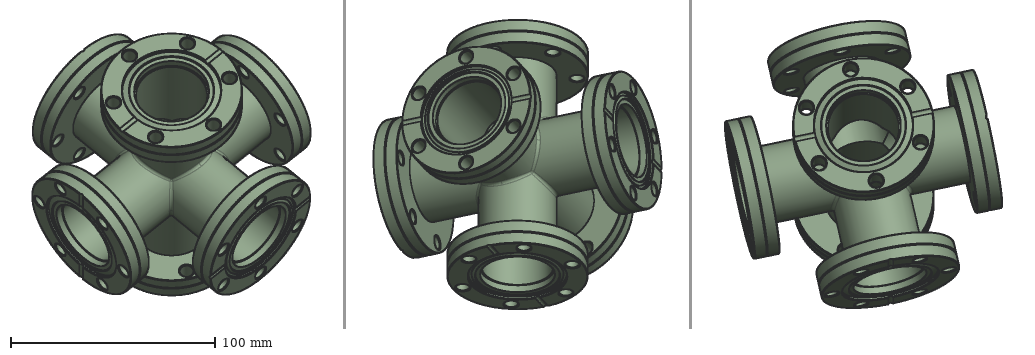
import cadquery as cq


span = 124.4
face_height = span / 2

tube_outer_dia = 38.3
tube_bore_dia = 34.8
weld_fillet = 1.5

fixed_flange_dia = 69.3
ring_dia = 69.0
flange_thickness = 12.8
rim_chamfer = 0.4
rim_groove_radius = 0.4

recess_dia = 48.3
recess_depth = 1.5
recess_chamfer = 0.4
knife_dia = 41.9
knife_depth = 0.4
knife_taper = 0.4
lip_dia = 36.6
lip_depth = 1.0
lip_chamfer = 0.1
tube_end_depth = 4.7

insert_dia = 45.2
insert_back_depth = 7.5
ring_bore_dia = 38.6

bolt_count = 6
bolt_hole_dia = 6.7
bolt_circle_dia = 58.7
bolt_chamfer = 0.5
leak_groove_width = 2.5
leak_groove_depth = 0.7

back_height = face_height - flange_thickness
mid_rim_height = face_height - flange_thickness / 2
insert_back_height = face_height - insert_back_depth
tube_end_height = face_height - tube_end_depth
recess_floor_height = face_height - recess_depth
knife_height = face_height - knife_depth
lip_height = face_height - lip_depth

fixed_ports = [
    ((0, 0, 1), (1, 0, 0)),
    ((-1, 0, 0), (0, 1, 0)),
    ((0, -1, 0), (1, 0, 0)),
]
rotatable_ports = [
    ((0, 0, -1), (0, 1, 0)),
    ((1, 0, 0), (0, 0, 1)),
    ((0, 1, 0), (0, 0, 1)),
]


def at_port(body, port):
    """Place a body modelled on the +Z port onto another port."""
    outward, local_x = port
    return body.val().moved(cq.Plane((0, 0, 0), local_x, outward).location)


def rod(diameter, bottom, top):
    """Cylinder on the Z axis between two heights."""
    return cq.Workplane("XY", origin=(0, 0, bottom)).circle(diameter / 2).extrude(top - bottom)


def cone(bottom_dia, top_dia, bottom, top):
    """Truncated cone on the Z axis between two heights."""
    start = cq.Vector(0, 0, bottom)
    return cq.Workplane(cq.Solid.makeCone(bottom_dia / 2, top_dia / 2, top - bottom, start))


def turned(outline):
    """Turn a closed radius-height outline about the Z axis."""
    return outline.close().revolve(360, (0, 0, 0), (0, 1, 0))


def crossed_rods(diameter):
    """Three equal cylinders that cross at the origin, joined."""
    upright = rod(diameter, -tube_end_height, tube_end_height)
    along_x = upright.rotate((0, 0, 0), (0, 1, 0), 90)
    along_y = upright.rotate((0, 0, 0), (1, 0, 0), 90)
    return upright.union(along_x).union(along_y)


def make_tube_cross():
    """Hollow cross with a weld fillet along the elliptical seams between the tubes."""
    outside = crossed_rods(tube_outer_dia).edges("%ELLIPSE").fillet(weld_fillet)
    return outside.cut(crossed_rods(tube_bore_dia))


def bolt_holes():
    """Ring of through holes, chamfered at both ends."""
    mouth_dia = bolt_hole_dia + 2 * bolt_chamfer
    hole = (
        rod(bolt_hole_dia, back_height, face_height)
        .union(cone(mouth_dia, bolt_hole_dia, back_height, back_height + bolt_chamfer))
        .union(cone(bolt_hole_dia, mouth_dia, face_height - bolt_chamfer, face_height))
    ).val()
    return cq.Workplane("XY").polarArray(bolt_circle_dia / 2, 0, 360, bolt_count).eachpoint(hole.moved)


def leak_groove():
    """Round-bottomed channel across the face along Y."""
    half_width = leak_groove_width / 2
    radius = (half_width**2 + leak_groove_depth**2) / (2 * leak_groove_depth)
    axis_height = face_height - leak_groove_depth + radius
    return (
        cq.Workplane("XZ")
        .center(0, axis_height)
        .circle(radius)
        .extrude(fixed_flange_dia / 2, both=True)
    )


def rim_groove(diameter):
    """Shallow half-round groove round the middle of the rim."""
    return turned(
        cq.Workplane("XZ")
        .moveTo(diameter / 2, mid_rim_height - rim_groove_radius)
        .threePointArc(
            (diameter / 2 - rim_groove_radius, mid_rim_height),
            (diameter / 2, mid_rim_height + rim_groove_radius),
        )
    )


def gasket_recess():
    """Round recess in the face with a chamfered mouth."""
    mouth_dia = recess_dia + 2 * recess_chamfer
    pocket = rod(recess_dia, recess_floor_height, face_height)
    return pocket.union(cone(recess_dia, mouth_dia, face_height - recess_chamfer, face_height))


def flange_disc(diameter):
    """Disc with chamfered rim, rim groove, bolt holes, leak-check groove and gasket recess."""
    return (
        rod(diameter, back_height, face_height)
        .edges()
        .chamfer(rim_chamfer)
        .cut(rim_groove(diameter))
        .cut(bolt_holes())
        .cut(leak_groove())
        .cut(gasket_recess())
    )


def knife_core(outer_dia, back):
    """Core with the knife edge and inner lip on its face and a socket for the tube end behind."""
    slope = (recess_depth - knife_depth) / (recess_dia - knife_dia)
    outer_edge_height = knife_height - slope * (outer_dia - knife_dia)
    lip_radius = lip_dia / 2
    socket_radius = tube_outer_dia / 2
    return turned(
        cq.Workplane("XZ").polyline([
            (socket_radius, back),
            (outer_dia / 2, back),
            (outer_dia / 2, outer_edge_height),
            (knife_dia / 2, knife_height),
            (knife_dia / 2 - knife_taper, lip_height),
            (lip_radius + lip_chamfer, lip_height),
            (lip_radius, lip_height - lip_chamfer),
            (lip_radius, tube_end_height),
            (socket_radius, tube_end_height),
        ])
    )


def make_fixed_flange():
    """One-piece flange with its own knife edge, seated on the tube end."""
    opened = flange_disc(fixed_flange_dia).cut(rod(recess_dia, back_height, face_height))
    return opened.union(knife_core(recess_dia, back_height))


def make_ring():
    """Loose bolt ring, stepped inside so that its shoulder bears on the back of the insert."""
    seat = rod(insert_dia, insert_back_height, face_height)
    tube_clearance = rod(ring_bore_dia, back_height, face_height)
    return flange_disc(ring_dia).cut(seat).cut(tube_clearance)


def make_insert():
    """Knife-edge insert on the tube end, inside the loose ring."""
    return knife_core(insert_dia, insert_back_height)


tube_cross = make_tube_cross()
fixed_flange = make_fixed_flange()
ring = make_ring()
insert = make_insert()

bodies = [tube_cross.val()]
for port in fixed_ports:
    bodies.append(at_port(fixed_flange, port))
for port in rotatable_ports:
    bodies.append(at_port(ring, port))
    bodies.append(at_port(insert, port))

result = cq.Compound.makeCompound(bodies)